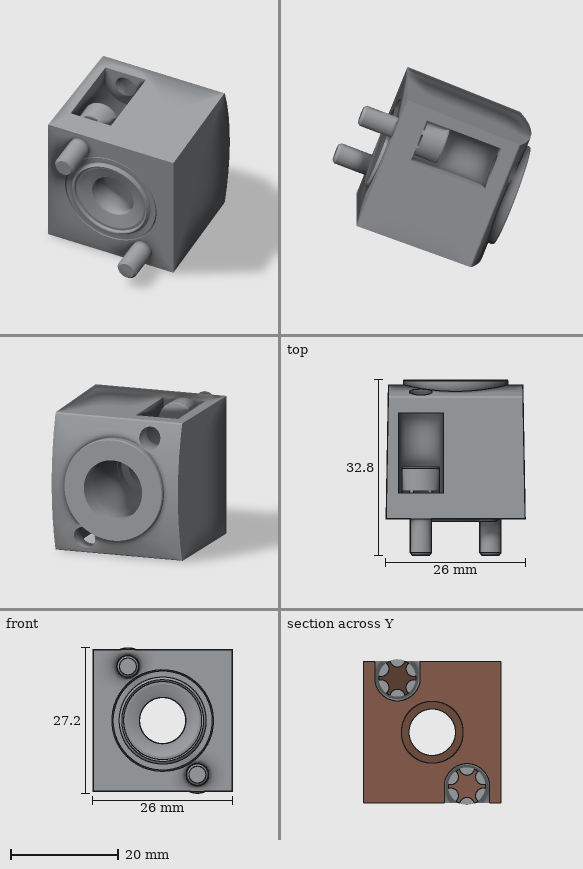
import cadquery as cq
import math


front_width = 26.0
height = 26.5
side_draft = 1.0
crown_y = 25.05
crown_radius = 40.0
crown_edge_fillet = 0.43
boss_diameter = 19.58
boss_end_y = 26.0
boss_chamfer_length = 0.25
boss_chamfer_width = 0.13

seat_diameter = 19.0
flange_diameter = 18.5
flange_face_y = 0.1
seat_end_y = 3.0
tail_diameter = 11.45
tail_end_y = 5.95
tail_bore_end_y = 7.77
back_bore_diameter = 11.6
insert_bore_diameter = 8.6

lip_base_diameter = 16.27
lip_tip_diameter = 15.3
lip_inner_diameter = 14.6
lip_tip_y = -0.5
cone_mouth_diameter = 13.55
cone_depth = 0.8

screw_x = -6.5
screw_z = 10.1
shank_diameter = 4.0
shank_end_y = -6.8
tip_diameter = 3.15
tip_chamfer_length = 0.5
head_diameter = 7.0
head_height = 4.85
head_chamfer_length = 0.25
head_chamfer_width = 0.1
notch_count = 6
notch_radius = 1.38
notch_depth = 0.4

clearance_diameter = 4.2
pocket_width = 8.4
pocket_start_y = 4.82
pocket_end_y = 19.78
screw_turns = (0, 180)


def turned(profile):
    """Revolve a closed (radius, y) profile about the Y axis."""
    return cq.Workplane("XY").polyline(profile).close().revolve(360, (0, 0), (0, 1))


def cylinder_along_y(diameter, start_y, end_y, x=0.0, z=0.0):
    radius = diameter / 2
    start = cq.Vector(x, start_y, z)
    return cq.Workplane(cq.Solid.makeCylinder(radius, end_y - start_y, start, cq.Vector(0, 1, 0)))


def turn_about_bore(shape, angle):
    return shape.rotate((0, 0, 0), (0, 1, 0), angle)


def make_block():
    """Block with drafted sides and a back rounded about the X direction."""
    half_height = height / 2
    crown_drop = crown_radius - math.sqrt(crown_radius**2 - half_height**2)
    shoulder_y = crown_y - crown_drop
    crowned = (
        cq.Workplane("YZ")
        .moveTo(0, -half_height)
        .lineTo(shoulder_y, -half_height)
        .threePointArc((crown_y, 0), (shoulder_y, half_height))
        .lineTo(0, half_height)
        .close()
        .extrude(front_width / 2, both=True)
        .edges("|X")
        .edges(">Y")
        .fillet(crown_edge_fillet)
    )
    half_front = front_width / 2
    half_back = half_front - boss_end_y * math.tan(math.radians(side_draft))
    drafted = (
        cq.Workplane("XY")
        .polyline([
            (-half_front, 0),
            (half_front, 0),
            (half_back, boss_end_y),
            (-half_back, boss_end_y),
        ])
        .close()
        .extrude(half_height, both=True)
    )
    return crowned.intersect(drafted)


def make_boss():
    radius = boss_diameter / 2
    return turned([
        (0, seat_end_y),
        (radius, seat_end_y),
        (radius, boss_end_y - boss_chamfer_length),
        (radius - boss_chamfer_width, boss_end_y),
        (0, boss_end_y),
    ])


def make_bore():
    """Stepped through bore: insert seat with clearance, tail fit and wider back."""
    return turned([
        (0, 0),
        (seat_diameter / 2, 0),
        (seat_diameter / 2, seat_end_y),
        (tail_diameter / 2, seat_end_y),
        (tail_diameter / 2, tail_bore_end_y),
        (back_bore_diameter / 2, tail_bore_end_y),
        (back_bore_diameter / 2, boss_end_y),
        (0, boss_end_y),
    ])


def make_screw_pocket():
    """Round-bottomed slot, open on top, with a clearance hole running front to back."""
    length = pocket_end_y - pocket_start_y
    slot_height = height / 2 - screw_z
    slot = cq.Workplane("XY").box(pocket_width, length, slot_height, centered=(True, False, False))
    slot = slot.translate((screw_x, pocket_start_y, screw_z))
    slot_floor = cylinder_along_y(pocket_width, pocket_start_y, pocket_end_y, screw_x, screw_z)
    clearance_hole = cylinder_along_y(clearance_diameter, 0, boss_end_y, screw_x, screw_z)
    return slot.union(slot_floor).union(clearance_hole)


def make_housing():
    housing = make_block().union(make_boss()).cut(make_bore())
    for angle in screw_turns:
        housing = housing.cut(turn_about_bore(make_screw_pocket(), angle))
    return housing


def make_insert():
    """Flanged sleeve with a raised, tapered lip around a conical bore entry."""
    lip_fillet = (lip_tip_diameter - lip_inner_diameter) / 2
    fillet_mid = lip_fillet * (1 - math.sqrt(0.5))
    inner_radius = lip_inner_diameter / 2
    return (
        cq.Workplane("XY")
        .moveTo(insert_bore_diameter / 2, flange_face_y + cone_depth)
        .lineTo(cone_mouth_diameter / 2, flange_face_y)
        .lineTo(inner_radius, flange_face_y)
        .lineTo(inner_radius, lip_tip_y + lip_fillet)
        .threePointArc(
            (inner_radius + fillet_mid, lip_tip_y + fillet_mid),
            (lip_tip_diameter / 2, lip_tip_y),
        )
        .lineTo(lip_base_diameter / 2, flange_face_y)
        .lineTo(flange_diameter / 2, flange_face_y)
        .lineTo(flange_diameter / 2, seat_end_y)
        .lineTo(tail_diameter / 2, seat_end_y)
        .lineTo(tail_diameter / 2, tail_end_y)
        .lineTo(insert_bore_diameter / 2, tail_end_y)
        .close()
        .revolve(360, (0, 0), (0, 1))
    )


def make_screw():
    """Cap screw with a chamfered tip and scalloped notches under the head."""
    head_radius = head_diameter / 2
    head_end_y = pocket_start_y + head_height
    screw = turned([
        (0, shank_end_y),
        (tip_diameter / 2, shank_end_y),
        (shank_diameter / 2, shank_end_y + tip_chamfer_length),
        (shank_diameter / 2, pocket_start_y),
        (head_radius, pocket_start_y),
        (head_radius, head_end_y - head_chamfer_length),
        (head_radius - head_chamfer_width, head_end_y),
        (0, head_end_y),
    ])
    notch = cylinder_along_y(2 * notch_radius, pocket_start_y, pocket_start_y + notch_depth, z=head_radius)
    for i in range(notch_count):
        screw = screw.cut(turn_about_bore(notch, i * 360 / notch_count))
    return screw.translate((screw_x, 0, screw_z))


housing = make_housing()
insert = make_insert()
screws = [turn_about_bore(make_screw(), angle) for angle in screw_turns]

result = cq.Compound.makeCompound([housing.val(), insert.val(), *[screw.val() for screw in screws]])